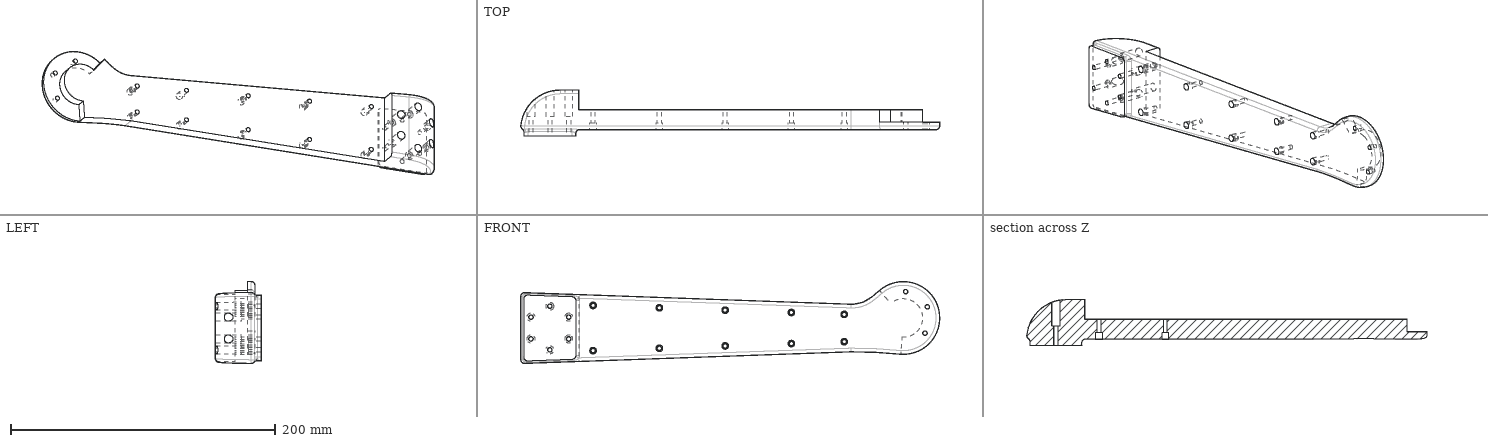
import cadquery as cq
import math

OVERALL_LENGTH = 317.5

ARM_LENGTH = 250.0
ROOT_HALF_HEIGHT = 27.0
TIP_HALF_HEIGHT = 18.0
ARM_THICKNESS = 15.2
EDGE_RADIUS = 3.0

DISC_RADIUS = 27.5
DISC_X = OVERALL_LENGTH - DISC_RADIUS
DISC_Z = 7.5
DISC_THICKNESS = 5.7
HUB_RADIUS = 14.5
NECK_TOP_ANGLE = 131
NECK_BOTTOM_ANGLE = 266
DISC_HOLE_CIRCLE = 20.0
DISC_HOLE_ANGLES = (85, 25, -35)

HEAD_LENGTH = 44.0
HEAD_DEPTH = 30.0

PAD_INSET = 2.0
PAD_START_X = 2.5
PAD_END_X = 42.0
PAD_HEIGHT = 4.8
PAD_CORNER_RADIUS = 3.0
COVE_RADIUS = 3.0

HOLE_DIAMETER = 3.2
COUNTERBORE_DIAMETER = 6.0
COUNTERBORE_FLOOR = 10.0
PAD_HOLE_X = 22.2
PAD_HOLE_CIRCLE = 16.5
PAD_HOLE_COUNT = 6
ARM_HOLE_X = (55.0, 105.0, 155.0, 205.0, 245.0)
ARM_HOLE_EDGE_DISTANCE = 8.0
ARM_HOLE_DIAMETER = 5.0
ARM_HOLE_DEPTH = 5.0


def half_height(x):
    """Half of the arm's height at a distance x from the root."""
    return ROOT_HALF_HEIGHT - (ROOT_HALF_HEIGHT - TIP_HALF_HEIGHT) * x / ARM_LENGTH


def disc_point(radius, angle):
    """Point in XZ on a circle about the disc centre, at an angle in degrees from +X."""
    turn = math.radians(angle)
    return (DISC_X + radius * math.cos(turn), DISC_Z + radius * math.sin(turn))


def front_plane(y):
    """XZ workplane at the given Y, facing -Y; a negative extrusion goes toward +Y."""
    return cq.Workplane("XZ", origin=(0, y, 0))


def cylinders(points, diameter, y_from, y_to):
    """Cylinders along Y at the given XZ points."""
    return front_plane(y_from).pushPoints(points).circle(diameter / 2).extrude(y_from - y_to)


def rim_direction(angle):
    """Direction in XZ of the disc's rim at an angle, turning clockwise."""
    turn = math.radians(angle)
    return (math.sin(turn), -math.cos(turn))


def arm_blank():
    """Tapered arm whose smooth neck meets the disc's rim, closed by two radii to the disc centre."""
    taper = (ROOT_HALF_HEIGHT - TIP_HALF_HEIGHT) / ARM_LENGTH
    top_joint = disc_point(DISC_RADIUS, NECK_TOP_ANGLE)
    bottom_joint = disc_point(DISC_RADIUS, NECK_BOTTOM_ANGLE)
    return (
        front_plane(0)
        .moveTo(0, -ROOT_HALF_HEIGHT)
        .lineTo(0, ROOT_HALF_HEIGHT)
        .lineTo(ARM_LENGTH, TIP_HALF_HEIGHT)
        .spline([top_joint], tangents=[(1, -taper), rim_direction(NECK_TOP_ANGLE)], includeCurrent=True)
        .lineTo(DISC_X, DISC_Z)
        .lineTo(*bottom_joint)
        .spline(
            [(ARM_LENGTH, -TIP_HALF_HEIGHT)],
            tangents=[rim_direction(NECK_BOTTOM_ANGLE), (-1, -taper)],
            includeCurrent=True,
        )
        .close()
        .extrude(-HEAD_DEPTH)
    )


def plan_prism():
    """Shape from above: arm depth, with the deeper head and its quarter-circle back."""
    return (
        cq.Workplane("XY", origin=(0, 0, -ROOT_HALF_HEIGHT))
        .lineTo(DISC_X, 0)
        .lineTo(DISC_X, ARM_THICKNESS)
        .lineTo(HEAD_LENGTH, ARM_THICKNESS)
        .lineTo(HEAD_LENGTH, HEAD_DEPTH)
        .lineTo(HEAD_DEPTH, HEAD_DEPTH)
        .radiusArc((0, 0), -HEAD_DEPTH)
        .close()
        .extrude(ROOT_HALF_HEIGHT + DISC_Z + DISC_RADIUS)
    )


def make_pad():
    """Plate parallel to the arm's tapered edges, with rounded corners, rooted below the front fillet."""
    start_half = half_height(PAD_START_X) - PAD_INSET
    end_half = half_height(PAD_END_X) - PAD_INSET
    corners = [
        (PAD_START_X, -start_half),
        (PAD_START_X, start_half),
        (PAD_END_X, end_half),
        (PAD_END_X, -end_half),
    ]
    pad = front_plane(EDGE_RADIUS).polyline(corners).close().extrude(EDGE_RADIUS + PAD_HEIGHT)
    return pad.edges("|Y").fillet(PAD_CORNER_RADIUS)


def make_body():
    """Arm, head and disc in one piece, with the head's back edges and the whole front rim filleted."""
    disc_centre = [(DISC_X, DISC_Z)]
    disc = cylinders(disc_centre, 2 * DISC_RADIUS, 0, DISC_THICKNESS)
    hub = cylinders(disc_centre, 2 * HUB_RADIUS, 0, ARM_THICKNESS)
    body = arm_blank().intersect(plan_prism()).union(disc).union(hub)
    head_back = cq.selectors.BoxSelector(
        (-HEAD_LENGTH, EDGE_RADIUS / 2, -HEAD_DEPTH),
        (HEAD_LENGTH - EDGE_RADIUS, 2 * HEAD_DEPTH, HEAD_DEPTH),
    )
    body = body.edges(head_back).edges("not(|Z or |Y)").fillet(EDGE_RADIUS)
    return body.faces("<Y").edges().fillet(EDGE_RADIUS)


def add_pad(body):
    """Join the pad to the body, with a cove where they meet."""
    joined = body.union(make_pad())
    joint = cq.selectors.NearestToPointSelector((PAD_END_X, 0, 0))
    return joined.edges(joint).fillet(COVE_RADIUS)


body = add_pad(make_body())

pad_holes = [
    (
        PAD_HOLE_X + PAD_HOLE_CIRCLE * math.sin(math.tau * i / PAD_HOLE_COUNT),
        PAD_HOLE_CIRCLE * math.cos(math.tau * i / PAD_HOLE_COUNT),
    )
    for i in range(PAD_HOLE_COUNT)
]
body = body.cut(cylinders(pad_holes, HOLE_DIAMETER, -PAD_HEIGHT, HEAD_DEPTH))
body = body.cut(cylinders(pad_holes, COUNTERBORE_DIAMETER, COUNTERBORE_FLOOR, HEAD_DEPTH))

arm_holes = [
    (x, side * (half_height(x) - ARM_HOLE_EDGE_DISTANCE))
    for x in ARM_HOLE_X
    for side in (1, -1)
]
body = body.cut(cylinders(arm_holes, HOLE_DIAMETER, 0, ARM_THICKNESS))
body = body.cut(cylinders(arm_holes, ARM_HOLE_DIAMETER, 0, ARM_HOLE_DEPTH))

disc_holes = [disc_point(DISC_HOLE_CIRCLE, angle) for angle in DISC_HOLE_ANGLES]
result = body.cut(cylinders(disc_holes, HOLE_DIAMETER, 0, DISC_THICKNESS))